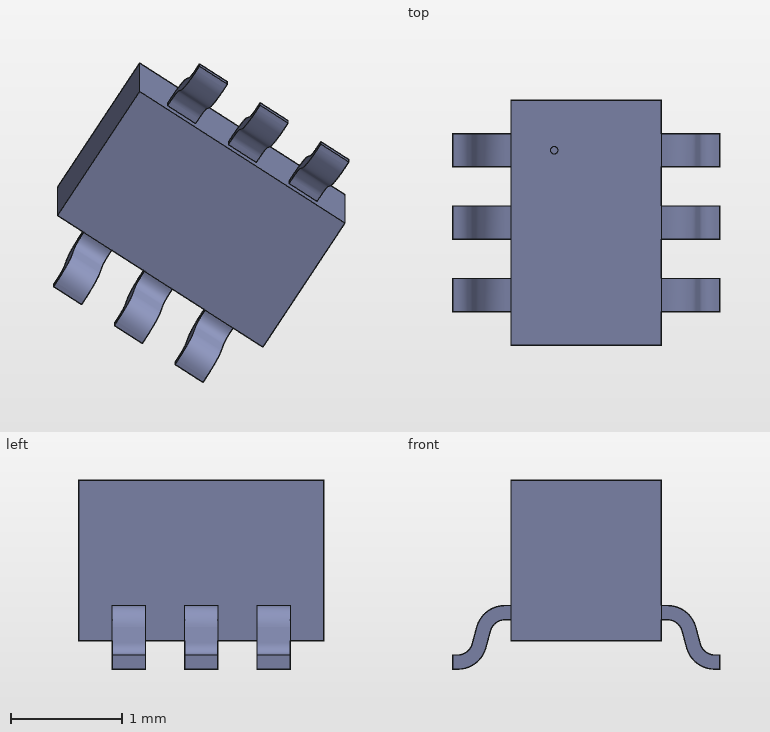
import cadquery as cq
import math

span = 2.4
body_width = 1.35
body_length = 2.2
total_height = 1.7
standoff = 0.255

leads_per_side = 3
lead_pitch = 0.65
lead_width = 0.3
lead_thickness = 0.13
lead_top = 0.574
foot_flat = 0.045
inner_radius = 0.135
leg_angle = 75.0
outer_radius = inner_radius + lead_thickness

marker_diameter = 0.067
marker_depth = 0.025
marker_x = -0.288
marker_y = lead_pitch


def make_marker():
    """Small disc whose top is level with the top of the body."""
    return (
        cq.Workplane("XY", origin=(marker_x, marker_y, total_height - marker_depth))
        .circle(marker_diameter / 2)
        .extrude(marker_depth)
    )


def make_body(marker):
    """Plain block with a recess that fits the marker."""
    block = (
        cq.Workplane("XY", origin=(0, 0, standoff))
        .rect(body_width, body_length)
        .extrude(total_height - standoff)
    )
    return block.cut(marker)


def arc_point(center, radius, degrees):
    """Point on a circle in the XZ plane, measured from +X toward +Z."""
    angle = math.radians(degrees)
    return (center[0] + radius * math.cos(angle), center[1] + radius * math.sin(angle))


def make_left_lead(y):
    """S-shaped lead from its foot at -X to the side of the body, centred at the given y."""
    tip_x = -span / 2
    body_x = -body_width / 2
    leg = math.radians(leg_angle)

    lower_center = (tip_x + foot_flat, outer_radius)
    upper_center_z = lead_top - outer_radius
    bend_sum = inner_radius + outer_radius
    leg_rise = lead_top - lead_thickness - bend_sum * (1 - math.cos(leg))
    leg_run = leg_rise / math.tan(leg)
    upper_center = (lower_center[0] + bend_sum * math.sin(leg) + leg_run, upper_center_z)

    foot_end = -90
    leg_start = foot_end + leg_angle
    foot_mid = foot_end + leg_angle / 2
    shoulder_start = 90
    leg_end = shoulder_start + leg_angle
    shoulder_mid = shoulder_start + leg_angle / 2

    profile = (
        cq.Workplane("XZ", origin=(0, y, 0))
        .moveTo(tip_x, 0)
        .lineTo(*arc_point(lower_center, outer_radius, foot_end))
        .threePointArc(
            arc_point(lower_center, outer_radius, foot_mid),
            arc_point(lower_center, outer_radius, leg_start),
        )
        .lineTo(*arc_point(upper_center, inner_radius, leg_end))
        .threePointArc(
            arc_point(upper_center, inner_radius, shoulder_mid),
            arc_point(upper_center, inner_radius, shoulder_start),
        )
        .lineTo(body_x, lead_top - lead_thickness)
        .lineTo(body_x, lead_top)
        .lineTo(*arc_point(upper_center, outer_radius, shoulder_start))
        .threePointArc(
            arc_point(upper_center, outer_radius, shoulder_mid),
            arc_point(upper_center, outer_radius, leg_end),
        )
        .lineTo(*arc_point(lower_center, inner_radius, leg_start))
        .threePointArc(
            arc_point(lower_center, inner_radius, foot_mid),
            arc_point(lower_center, inner_radius, foot_end),
        )
        .lineTo(tip_x, lead_thickness)
        .close()
    )
    return profile.extrude(lead_width / 2, both=True)


marker = make_marker()
body = make_body(marker)

leads = []
for index in range(leads_per_side):
    row_y = (index - (leads_per_side - 1) / 2) * lead_pitch
    left_lead = make_left_lead(row_y)
    leads.append(left_lead.val())
    leads.append(left_lead.mirror("YZ").val())

result = cq.Compound.makeCompound([body.val(), marker.val(), *leads])